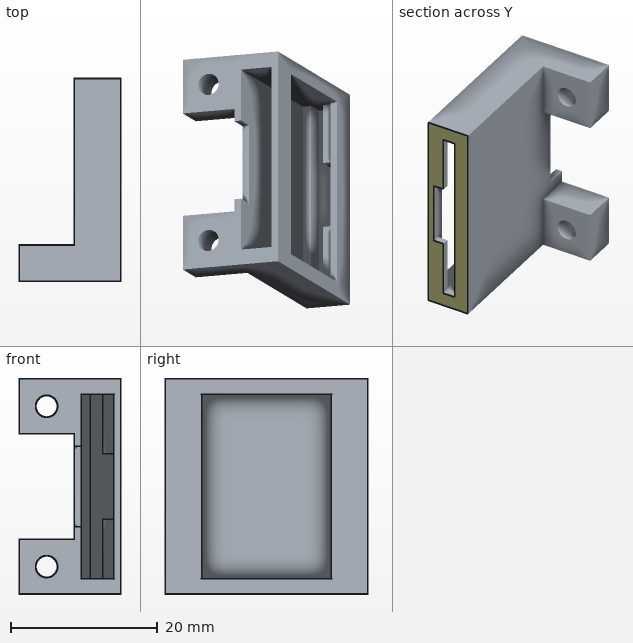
import cadquery as cq

width = 13.9
depth = 27.7
height = 29.4

lug_reach = 7.53
lug_depth = 5.0
lug_height = 7.53
hole_diameter = 2.95
hole_x = lug_reach / 2
hole_inset = lug_height / 2

side_wall = 0.97
end_wall = 2.1
back_wall = 1.0
cavity_depth = 23.7
rear_ledge = 1.23
corner_block_width = 1.5
corner_block_height = 8.15

notch_depth = 3.05
notch_height = 10.95
window_start = lug_depth
window_end = depth - lug_depth

cavity_left = lug_reach + side_wall
cavity_right = width - side_wall
cavity_top = height - end_wall


def block(x0, x1, y0, y1, z0, z1):
    """Axis-aligned block between two opposite corners."""
    return cq.Workplane("XY").box(x1 - x0, y1 - y0, z1 - z0, centered=False).translate((x0, y0, z0))


body = block(lug_reach, width, 0, depth, 0, height)
for lug_bottom in (0, height - lug_height):
    body = body.union(block(0, lug_reach, 0, lug_depth, lug_bottom, lug_bottom + lug_height))

body = body.cut(block(cavity_left, cavity_right, 0, cavity_depth, end_wall, cavity_top))

recess_left = cavity_left + rear_ledge
recess_back = depth - back_wall
rear_recess = block(recess_left, cavity_right, cavity_depth, recess_back, end_wall, cavity_top)
for corner_bottom in (end_wall, cavity_top - corner_block_height):
    corner_block = block(
        cavity_right - corner_block_width, cavity_right,
        cavity_depth, recess_back,
        corner_bottom, corner_bottom + corner_block_height,
    )
    rear_recess = rear_recess.cut(corner_block)
body = body.cut(rear_recess)

notch_bottom = (height - notch_height) / 2
body = body.cut(block(lug_reach, cavity_left, 0, notch_depth, notch_bottom, notch_bottom + notch_height))

body = body.cut(block(cavity_right, width, window_start, window_end, end_wall, cavity_top))

for hole_z in (hole_inset, height - hole_inset):
    hole = cq.Workplane("XZ").center(hole_x, hole_z).circle(hole_diameter / 2).extrude(-lug_depth)
    body = body.cut(hole)

result = body